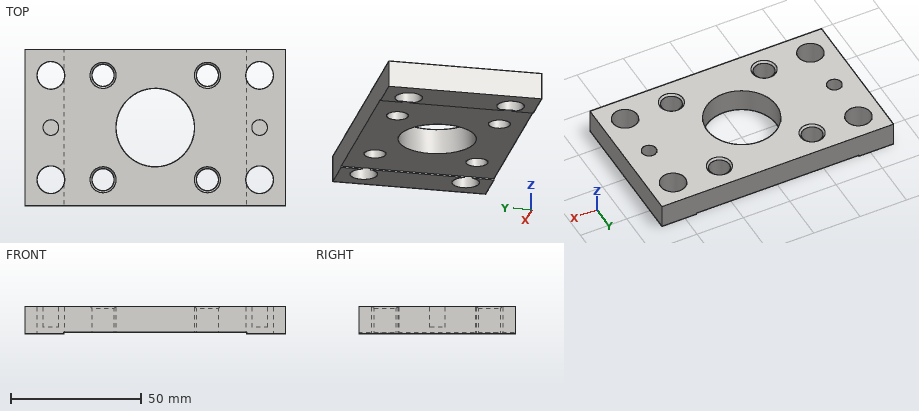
import cadquery as cq

LENGTH = 100.0
WIDTH = 60.0
HEIGHT = 10.5

FOOT_LENGTH = 15.0
RELIEF_DEPTH = 0.5

BORE_DIAMETER = 30.0

CORNER_DIAMETER = 10.5
CORNER_INSET_X = 10.0
CORNER_INSET_Y = 10.0

INNER_DIAMETER = 8.376
INNER_RIM_DIAMETER = 10.0
INNER_CHAMFER_ANGLE = 90.0
INNER_SPACING = 40.0

DOWEL_DIAMETER = 6.0
DOWEL_DEPTH = 8.0

CORNER_SPACING_X = LENGTH - 2 * CORNER_INSET_X
CORNER_SPACING_Y = WIDTH - 2 * CORNER_INSET_Y


def make_plate():
    """Plate standing on Z = 0, centred in X and Y."""
    return cq.Workplane("XY").box(LENGTH, WIDTH, HEIGHT, centered=(True, True, False))


def cut_relief(body):
    """Step the underside up between the two end feet, over the full width."""
    relief_length = LENGTH - 2 * FOOT_LENGTH
    relief = cq.Workplane("XY").box(
        relief_length, WIDTH, RELIEF_DEPTH, centered=(True, True, False)
    )
    return body.cut(relief)


def on_top(body):
    """Sketch plane on the top face, centred on the plate."""
    return body.faces(">Z").workplane(origin=(0, 0, HEIGHT))


def cut_bore(body):
    return on_top(body).hole(BORE_DIAMETER)


def cut_corner_holes(body):
    corners = on_top(body).rect(CORNER_SPACING_X, CORNER_SPACING_Y, forConstruction=True)
    return corners.vertices().hole(CORNER_DIAMETER)


def cut_inner_holes(body):
    """Through holes with a 90 degree countersink at the top rim."""
    centres = on_top(body).rect(INNER_SPACING, INNER_SPACING, forConstruction=True)
    return centres.vertices().cskHole(INNER_DIAMETER, INNER_RIM_DIAMETER, INNER_CHAMFER_ANGLE)


def cut_dowel_holes(body):
    centres = on_top(body).pushPoints([(side * CORNER_SPACING_X / 2, 0) for side in (-1, 1)])
    return centres.hole(DOWEL_DIAMETER, DOWEL_DEPTH)


plate = cut_relief(make_plate())
plate = cut_bore(plate)
plate = cut_corner_holes(plate)
plate = cut_inner_holes(plate)
result = cut_dowel_holes(plate)